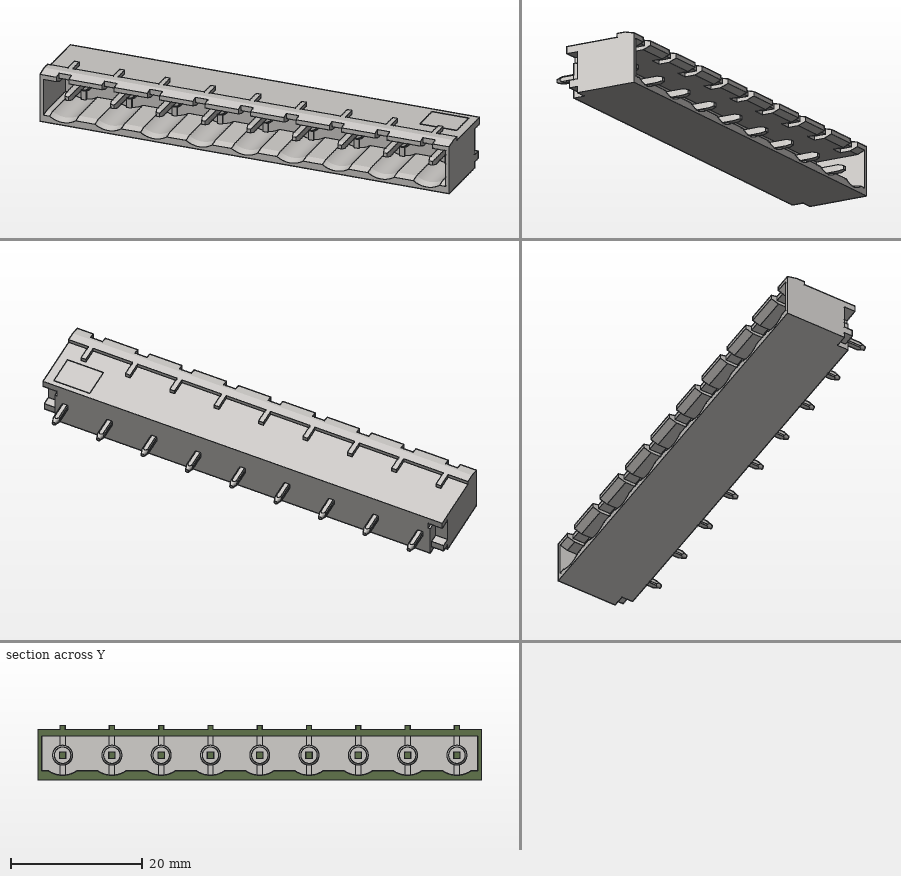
import cadquery as cq


contact_count = 9
length = 67.5
pitch = length / contact_count
contact_xs = [(i - (contact_count - 1) / 2) * pitch for i in range(contact_count)]
contact_z = 3.8

depth = 12.0
height = 8.3
roof_z = 7.7
step_y = 3.05
nose_y = 1.6
nose_drop = 0.4
rib_width = 0.8
roof_rib_end_y = 5.6

wall = 0.6
floor_z = 1.4
ceiling_z = 6.7
cavity_depth = 8.6
flare_depth = 1.3
floor_flare = 0.3
ceiling_flare = 0.5

groove_half_width = 2.15
groove_sag = 0.7

key_width = 2.0
notch_depth = 1.0
keyway_z = 7.3
keyway_end_y = step_y

collar_diameter = 3.05
collar_bevel = 0.3
collar_height = 0.7
wall_rib_height = 0.35

blade_size = 1.0
blade_tip_size = 0.6
blade_front_y = 1.7
blade_taper = 0.8
pin_diameter = 1.2
pin_tip_diameter = 0.56
pin_end_y = 15.9
pin_taper = 1.0

recess_y = 10.1
recess_width = 2.0
recess_z = 5.55
slot_width = 2.35
slot_z = 6.55
tab_z = 1.0
tab_height = 1.2
tab_end_y = 11.55

label_length = 6.1
label_width = 4.8
label_recess = 0.1
label_side_margin = 1.4
label_rear_margin = 0.9


def box(x_range, y_range, z_range):
    """Axis-aligned box between the given limits."""
    ranges = (x_range, y_range, z_range)
    sizes = [high - low for low, high in ranges]
    corner = tuple(low for low, high in ranges)
    return cq.Workplane("XY").box(*sizes, centered=False).translate(corner)


def centred(middle, size):
    """Limits of a feature of the given size, centred on middle."""
    return (middle - size / 2, middle + size / 2)


def section_at(y):
    """Workplane across the contact axis at the given Y, facing the pin tips."""
    return cq.Workplane("XZ", origin=(0, y, contact_z)).transformed(rotate=(180, 0, 0))


def housing_block():
    """Side profile with the raised, sloping nose, drawn out along X."""
    profile = [
        (0, 0),
        (depth, 0),
        (depth, roof_z),
        (step_y, roof_z),
        (step_y, height),
        (nose_y, height),
        (0, height - nose_drop),
    ]
    return cq.Workplane("YZ").polyline(profile).close().extrude(length / 2, both=True)


def cavity():
    """Rectangular cavity whose floor and ceiling flare out at the mouth."""
    profile = [
        (0, floor_z - floor_flare),
        (flare_depth, floor_z),
        (cavity_depth, floor_z),
        (cavity_depth, ceiling_z),
        (flare_depth, ceiling_z),
        (0, ceiling_z + ceiling_flare),
    ]
    half_width = length / 2 - wall
    return cq.Workplane("YZ").polyline(profile).close().extrude(half_width, both=True)


def floor_groove():
    """Round-bottomed groove that follows the flare of the floor at the mouth."""

    def section(y, edge_z):
        start = cq.Vector(-groove_half_width, y, edge_z)
        lowest = cq.Vector(0, y, edge_z - groove_sag)
        end = cq.Vector(groove_half_width, y, edge_z)
        arc = cq.Edge.makeThreePointArc(start, lowest, end)
        return cq.Wire.assembleEdges([arc, cq.Edge.makeLine(end, start)])

    mouth = section(0, floor_z - floor_flare)
    flare_end = section(flare_depth, floor_z)
    back = section(cavity_depth, floor_z)
    flared = cq.Solid.makeLoft([mouth, flare_end], True)
    straight = cq.Solid.makeLoft([flare_end, back], True)
    return cq.Workplane(flared).union(cq.Workplane(straight))


def key_opening():
    """Notch through the nose, continued as a keyway in the cavity ceiling."""
    x_range = centred(0, key_width)
    notch = box(x_range, (0, notch_depth), (ceiling_z, height))
    return notch.union(box(x_range, (0, keyway_end_y), (ceiling_z, keyway_z)))


def roof_rib():
    """Rib running back from the step of the roof."""
    return box(centred(0, rib_width), (step_y, roof_rib_end_y), (roof_z, height))


def collar():
    """Bevelled collar around a contact, with a rib from floor to ceiling behind it."""
    ring = section_at(cavity_depth).circle(collar_diameter / 2).extrude(-collar_height)
    ring = ring.faces("<Y").chamfer(collar_bevel)
    rib_y = (cavity_depth - wall_rib_height, cavity_depth)
    rib = box(centred(0, rib_width), rib_y, (floor_z - groove_sag, ceiling_z))
    return ring.union(rib)


def contact():
    """Square blade with a tapered tip, ending in a pin with rounded corners and a conical tip."""
    taper_end_y = blade_front_y + blade_taper
    blade = section_at(taper_end_y).rect(blade_size, blade_size).extrude(depth - taper_end_y)
    blade_tip = (
        section_at(blade_front_y)
        .rect(blade_tip_size, blade_tip_size)
        .workplane(offset=blade_taper)
        .rect(blade_size, blade_size)
        .loft()
    )
    cone_y = pin_end_y - pin_taper
    cone = (
        section_at(cone_y)
        .circle(pin_diameter / 2)
        .workplane(offset=pin_taper)
        .circle(pin_tip_diameter / 2)
        .loft()
    )
    envelope = section_at(depth).circle(pin_diameter / 2).extrude(cone_y - depth).union(cone)
    pin = section_at(depth).rect(blade_size, blade_size).extrude(pin_end_y - depth).intersect(envelope)
    return blade.union(blade_tip).union(pin)


def corner_recess():
    """Stepped recess at the -X rear corner, leaving a tab that projects to the rear."""
    left = -length / 2
    recess = box((left, left + recess_width), (recess_y, depth), (0, recess_z))
    slot = box((left, left + slot_width), (recess_y, depth), (recess_z, slot_z))
    tab = box((left, left + recess_width), (recess_y, tab_end_y), (tab_z, tab_z + tab_height))
    return recess.union(slot).cut(tab)


def label_field():
    """Shallow rectangular field near the +X rear corner of the roof."""
    right = length / 2 - label_side_margin
    rear = depth - label_rear_margin
    return box((right - label_length, right), (rear - label_width, rear), (roof_z - label_recess, roof_z))


result = housing_block().cut(cavity())
result = result.cut(corner_recess()).cut(corner_recess().mirror("YZ"))
result = result.cut(label_field())

for cut_shape in (floor_groove(), key_opening()):
    for x in contact_xs:
        result = result.cut(cut_shape.translate((x, 0, 0)))

for added_shape in (roof_rib(), collar(), contact()):
    for x in contact_xs:
        result = result.union(added_shape.translate((x, 0, 0)))